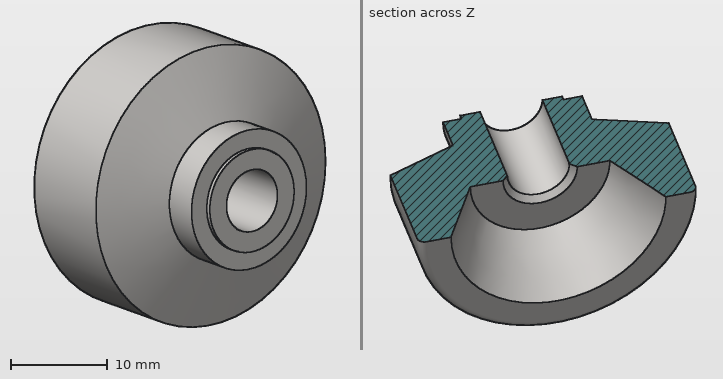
import cadquery as cq

rim_diameter = 30.0
rim_length = 11.0
rim_rounding = 0.8
hub_diameter = 15.0
hub_start = 13.75
hub_end = 17.5
tip_diameter = 11.0
total_length = 18.0

dish_mouth_diameter = 23.1
dish_floor_diameter = 15.0
dish_depth = 7.0
bore_diameter = 6.65
bore_chamfer = 0.65


def turned_body():
    """Rim, conical shoulder, hub and end tip as one revolved profile."""
    profile = (
        cq.Workplane("XY")
        .lineTo(0, rim_diameter / 2)
        .lineTo(rim_length, rim_diameter / 2)
        .lineTo(hub_start, hub_diameter / 2)
        .lineTo(hub_end, hub_diameter / 2)
        .lineTo(hub_end, tip_diameter / 2)
        .lineTo(total_length, tip_diameter / 2)
        .lineTo(total_length, 0)
        .close()
    )
    body = profile.revolve(360, (0, 0, 0), (1, 0, 0))
    return body.faces("<X").edges().fillet(rim_rounding)


def dish_and_bore():
    """Tapered dish leading into a through bore with a chamfered mouth."""
    bore_radius = bore_diameter / 2
    profile = (
        cq.Workplane("XY")
        .lineTo(0, dish_mouth_diameter / 2)
        .lineTo(dish_depth, dish_floor_diameter / 2)
        .lineTo(dish_depth, bore_radius + bore_chamfer)
        .lineTo(dish_depth + bore_chamfer, bore_radius)
        .lineTo(total_length, bore_radius)
        .lineTo(total_length, 0)
        .close()
    )
    return profile.revolve(360, (0, 0, 0), (1, 0, 0))


result = turned_body().cut(dish_and_bore())